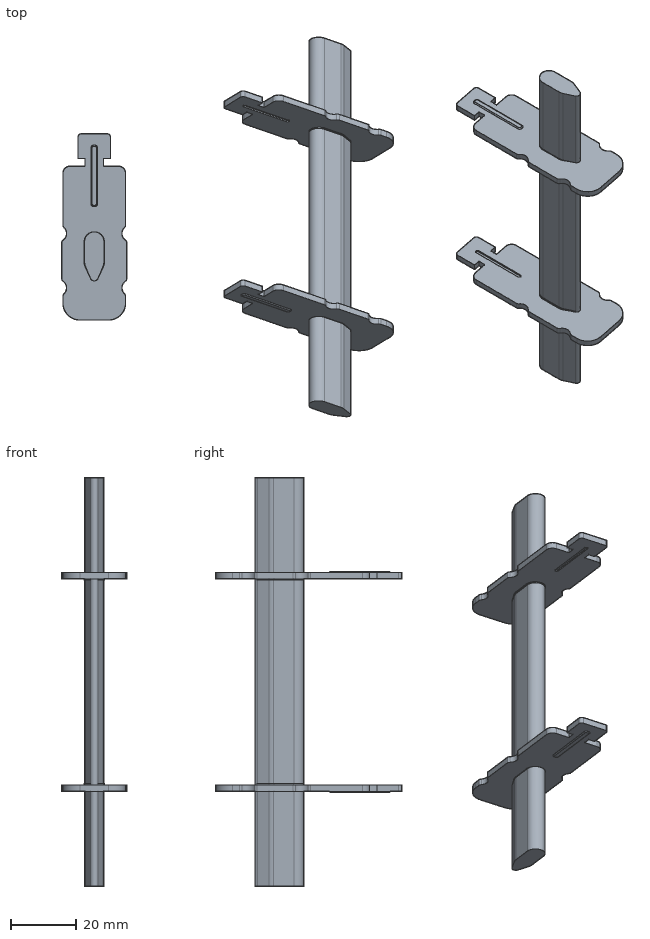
import cadquery as cq
import math

shaft_length = 125.0
shaft_width = 5.9
shaft_depth = 15.0
shaft_back_y = -1.5
shoulder_y = -11.5
shoulder_radius = 3.6
nose_radius = 1.2

seat_width = 6.2
seat_overhang = 0.4

plate_thickness = 2.0
plate_pitch = 65.0
plate_front_y = -28.5
body_end_y = 18.6
body_width = 19.2
body_corner_radius = 2.2
front_corner_radius = 5.2

grip_width = 20.0
notch_radius = 2.5
notch_center_x = 11.0
notch_centers_y = (-2.0, -18.6)
notch_edge_radius = 1.0

head_width = 10.0
head_start_y = 20.9
head_end_y = 28.5
head_corner_radius = 1.0
neck_width = 5.8

rib_center_y = 15.6
rib_length = 18.8
rib_width = 2.0
rib_height = 0.31
rib_corner_radius = 0.8
rib_side_taper = 50.0
groove_length = 17.5
groove_width = 1.1
groove_depth = 0.5


def teardrop_bar(width, length):
    """Bar up from Z = 0 with a round back, flat sides and a taper to a rounded nose."""
    half_width = width / 2
    back_center_y = shaft_back_y - half_width
    nose_center_y = shaft_back_y - shaft_depth + nose_radius

    shoulder_rise = shoulder_y - nose_center_y
    shoulder_reach = math.hypot(half_width, shoulder_rise)
    taper_angle = math.atan2(half_width, shoulder_rise) - math.asin(nose_radius / shoulder_reach)
    tip_y = nose_center_y - nose_radius / math.sin(taper_angle)

    bar = (
        cq.Workplane("XY")
        .moveTo(half_width, back_center_y)
        .threePointArc((0, shaft_back_y), (-half_width, back_center_y))
        .lineTo(-half_width, shoulder_y)
        .lineTo(0, tip_y)
        .lineTo(half_width, shoulder_y)
        .close()
        .extrude(length)
    )
    bar = bar.edges("|Z and <Y").fillet(nose_radius)
    for side in (-1, 1):
        shoulder_edge = cq.selectors.NearestToPointSelector((side * half_width, shoulder_y, length / 2))
        bar = bar.edges(shoulder_edge).fillet(shoulder_radius)
    return bar


def mirrored_pair(upper):
    return [upper, upper.mirror("XY")]


def build_shaft():
    bar = teardrop_bar(shaft_width, shaft_length).translate((0, 0, -shaft_length / 2))
    seat_base_z = (plate_pitch - plate_thickness) / 2 - seat_overhang
    seat = teardrop_bar(seat_width, plate_thickness + seat_overhang).translate((0, 0, seat_base_z))
    for shaft_seat in mirrored_pair(seat):
        bar = bar.union(shaft_seat)
    return bar


def plate_block(width, low_y, high_y):
    return (
        cq.Workplane("XY")
        .center(0, (low_y + high_y) / 2)
        .rect(width, high_y - low_y)
        .extrude(plate_thickness)
    )


def plate_body():
    body = plate_block(body_width, plate_front_y, body_end_y)
    body = body.edges("|Z and >Y").fillet(body_corner_radius)
    body = body.edges("|Z and <Y").fillet(front_corner_radius)
    return body.union(plate_block(grip_width, min(notch_centers_y), max(notch_centers_y)))


def cut_notches(body):
    """Cut the four side notches and round the edges where they meet the sides."""
    centers = [(side * notch_center_x, y) for side in (-1, 1) for y in notch_centers_y]
    body = body.cut(cq.Workplane("XY").pushPoints(centers).circle(notch_radius).extrude(plate_thickness))
    for x, y in centers:
        around_notch = cq.selectors.BoxSelector(
            (x - notch_radius, y - notch_radius, 0),
            (x + notch_radius, y + notch_radius, plate_thickness),
        )
        body = body.edges(around_notch).edges("|Z").fillet(notch_edge_radius)
    return body


def head_and_neck():
    head = plate_block(head_width, head_start_y, head_end_y)
    head = head.edges("|Z and >Y").fillet(head_corner_radius)
    return head.union(plate_block(neck_width, body_end_y, head_start_y))


def rib():
    """Low bar with rounded corners and sides that slope inwards."""
    return (
        cq.Workplane("XY", origin=(0, rib_center_y, plate_thickness))
        .sketch()
        .rect(rib_width, rib_length)
        .vertices()
        .fillet(rib_corner_radius)
        .finalize()
        .extrude(rib_height, taper=rib_side_taper)
    )


def groove():
    return (
        cq.Workplane("XY", origin=(0, rib_center_y, 0))
        .slot2D(groove_length, groove_width, 90)
        .extrude(groove_depth)
    )


def build_plate():
    """Plate lying on Z = 0 with its outer face up."""
    return (
        cut_notches(plate_body())
        .union(head_and_neck())
        .cut(teardrop_bar(seat_width, plate_thickness))
        .union(rib())
        .cut(groove())
    )


shaft = build_shaft()
upper_plate = build_plate().translate((0, 0, (plate_pitch - plate_thickness) / 2))
plates = mirrored_pair(upper_plate)

result = cq.Compound.makeCompound([shaft.val(), *[plate.val() for plate in plates]])